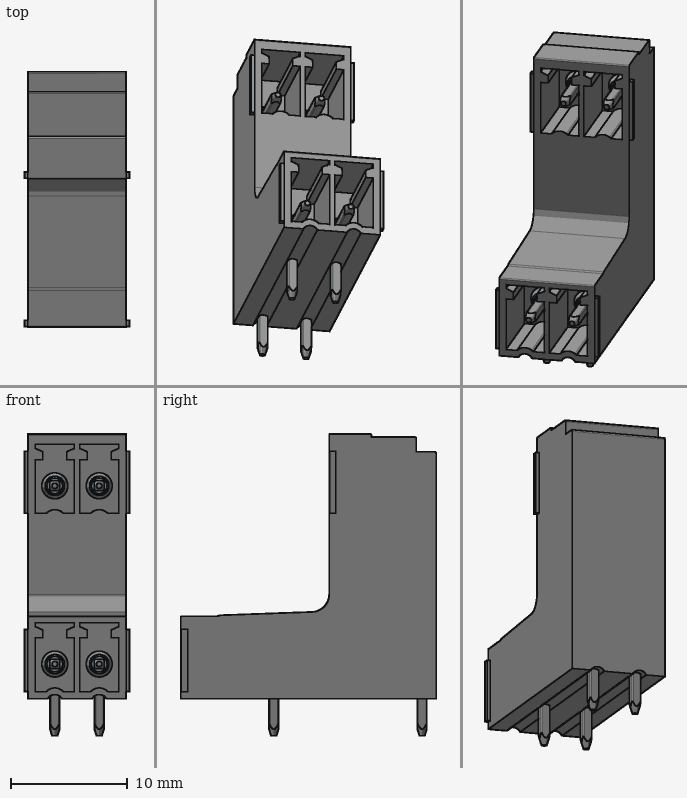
import cadquery as cq
import math


overall_width = 9.01
width = 8.42
depth = 21.9
overall_height = 25.9
arm_height = 7.1
arm_flat_length = 3.15
arm_ramp_length = 0.25
arm_ramp_height = 0.08
arm_rear_height = 7.5
inner_radius = 1.5
column_front = 12.72
column_height = 22.71
middle_step_y = 16.37
middle_step_height = 22.45
rear_step_y = 20.2
rear_step_height = 21.19
front_edge_radius = 0.1
rear_edge_radius = 0.15

pole_pitch = 3.8
pole_xs = [-pole_pitch / 2, pole_pitch / 2]
row_rise = 15.28
row_origins = [(0, 0), (column_front, row_rise)]

cavity_width = 3.37
cavity_depth = 6.73
cavity_bottom = 0.62
cavity_top = 6.53
neck_width = 2.07
neck_bottom = 5.23
neck_top = 5.9
key_slope_top = 6.2
floor_rib_half_width = 0.73
floor_rib_height = 0.3

groove_half_width = 0.6
groove_depth = 0.35

strip_thickness = (overall_width - width) / 2
strip_setback = 0.05
strip_rear = 0.6
strip_top = 5.95

collar_base_radius = 1.11
collar_top_radius = 0.67
collar_rim = 0.15
collar_height = 0.9

pin_size = 0.83
pin_edge_radius = 0.1
pin_tip_radius = 0.23
pin_taper_length = 0.98
contact_height = 2.98
contact_tip_y = 1.3
leg_setback = 7.98
leg_tip_z = column_height - overall_height


def make_shell():
    """L-shaped solid body of the housing."""
    ramp_top_y = arm_flat_length + arm_ramp_length
    outline = [
        (0, 0),
        (0, arm_height),
        (arm_flat_length, arm_height),
        (ramp_top_y, arm_height + arm_ramp_height),
        (column_front, arm_rear_height),
        (column_front, column_height),
        (middle_step_y, column_height),
        (middle_step_y, middle_step_height),
        (rear_step_y, middle_step_height),
        (rear_step_y, rear_step_height),
        (depth, rear_step_height),
        (depth, 0),
    ]
    shell = cq.Workplane("YZ").polyline(outline).close().extrude(width / 2, both=True)
    rounded_edges = [
        (column_front, arm_rear_height, inner_radius),
        (0, arm_height, front_edge_radius),
        (column_front, column_height, front_edge_radius),
        (middle_step_y, column_height, rear_edge_radius),
        (rear_step_y, middle_step_height, rear_edge_radius),
        (depth, rear_step_height, rear_edge_radius),
    ]
    for y, z, radius in rounded_edges:
        shell = shell.edges(cq.selectors.NearestToPointSelector((0, y, z))).fillet(radius)
    return shell


def make_cavity():
    """Void of one mating cavity, around X = 0 and behind a mating face at Y = 0."""
    half = cavity_width / 2
    half_neck = neck_width / 2
    return (
        cq.Workplane("XZ")
        .moveTo(-half, cavity_bottom)
        .lineTo(-floor_rib_half_width, cavity_bottom)
        .threePointArc(
            (0, cavity_bottom + floor_rib_height), (floor_rib_half_width, cavity_bottom)
        )
        .lineTo(half, cavity_bottom)
        .lineTo(half, neck_bottom)
        .lineTo(half_neck, neck_bottom)
        .lineTo(half_neck, neck_top)
        .lineTo(half, key_slope_top)
        .lineTo(half, cavity_top)
        .lineTo(-half, cavity_top)
        .lineTo(-half, key_slope_top)
        .lineTo(-half_neck, neck_top)
        .lineTo(-half_neck, neck_bottom)
        .lineTo(-half, neck_bottom)
        .close()
        .extrude(-cavity_depth)
    )


def make_collar():
    """Tapered collar standing on the cavity end wall around the contact axis."""
    end_y = cavity_depth - collar_height
    profile = [
        (0, cavity_depth),
        (collar_base_radius, cavity_depth),
        (collar_top_radius + collar_rim, end_y + collar_rim),
        (collar_top_radius, end_y),
        (0, end_y),
    ]
    collar = cq.Workplane("XY").polyline(profile).close().revolve(360, (0, 0), (0, 1))
    return collar.translate((0, 0, contact_height))


def make_groove():
    """Round-topped groove along the underside of the housing."""
    return (
        cq.Workplane("XZ")
        .moveTo(-groove_half_width, 0)
        .threePointArc((0, groove_depth), (groove_half_width, 0))
        .close()
        .extrude(-depth)
    )


def make_strips():
    """Pair of raised side strips beside a mating face at Y = 0, as one block spanning the housing."""
    span = width + 2 * strip_thickness
    length = strip_rear - strip_setback
    height = strip_top - cavity_bottom
    strips = cq.Workplane("XY").box(span, length, height, centered=(True, False, False))
    return strips.translate((0, strip_setback, cavity_bottom))


def make_bar(length):
    """Round-edged square bar from Z = 0 down to a conical tip at Z = -length."""
    bar = (
        cq.Workplane("XY")
        .rect(pin_size, pin_size)
        .extrude(-length)
        .edges("|Z")
        .fillet(pin_edge_radius)
    )
    half_core = pin_size / 2 - pin_edge_radius
    corner_radius = math.hypot(half_core, half_core) + pin_edge_radius
    envelope = [
        (0, 0),
        (corner_radius, 0),
        (corner_radius, pin_taper_length - length),
        (pin_tip_radius, -length),
        (0, -length),
    ]
    tip_envelope = cq.Workplane("XZ").polyline(envelope).close().revolve(360, (0, 0), (0, 1))
    return bar.intersect(tip_envelope)


def make_pin(x, row_y, row_z):
    """Angled pin: a contact pointing forward and a leg pointing down."""
    elbow_y = row_y + leg_setback
    elbow_z = row_z + contact_height
    half = pin_size / 2
    contact = (
        make_bar(leg_setback + half - contact_tip_y)
        .rotate((0, 0, 0), (1, 0, 0), -90)
        .translate((x, elbow_y + half, elbow_z))
    )
    leg = make_bar(elbow_z + half - leg_tip_z).translate((x, elbow_y, elbow_z + half))
    return contact.union(leg)


def make_housing(pins):
    """Housing with its cavities, collars, grooves and side strips, bored for the pins."""
    housing = make_shell()
    cavity = make_cavity()
    collar = make_collar()
    for row_y, row_z in row_origins:
        housing = housing.union(make_strips().translate((0, row_y, row_z)))
        for x in pole_xs:
            place = (x, row_y, row_z)
            housing = housing.cut(cavity.translate(place)).union(collar.translate(place))
    for x in pole_xs:
        housing = housing.cut(make_groove().translate((x, 0, 0)))
    for pin in pins:
        housing = housing.cut(pin)
    return housing


pins = [make_pin(x, row_y, row_z) for row_y, row_z in row_origins for x in pole_xs]
housing = make_housing(pins)

result = cq.Compound.makeCompound([housing.val(), *[pin.val() for pin in pins]])